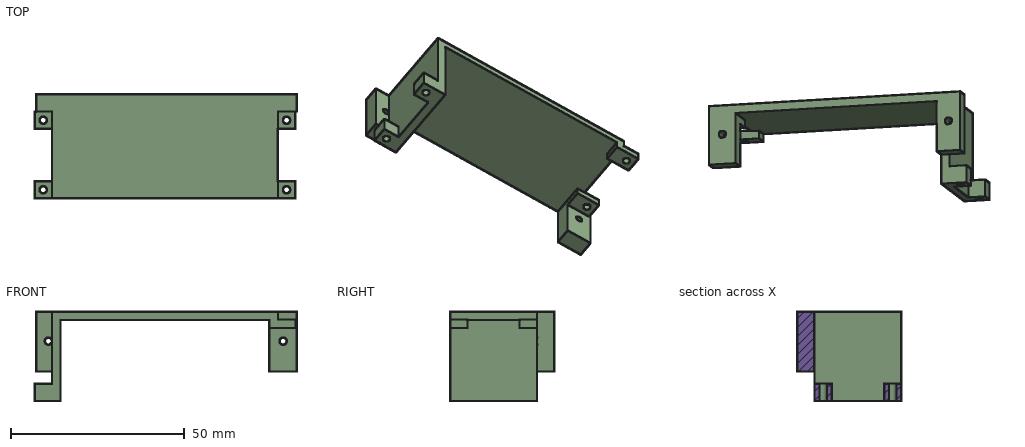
import cadquery as cq

height = 25.75
depth = 30.0
thickness = 2.5

wall_x = 5.0
plate_end_x = 70.0
flange_thickness = 5.0
plate_depth = depth - flange_thickness

flange_start_x = 0.5
flange_end_x = 75.5
leg_height = 17.25
left_leg_end_x = wall_x + thickness
right_leg_start_x = 67.5
leg_hole_drop = 8.5
left_leg_hole_x = (flange_start_x + left_leg_end_x) / 2
right_leg_hole_x = (right_leg_start_x + flange_end_x) / 2

hole_diameter = 2.0
tab_size = 5.0
lower_tab_height = 5.0
upper_tab_end_x = plate_end_x + tab_size
upper_tab_drop = 2.25
upper_tab_height = 2.5
tab_ys = (0.0, plate_depth - tab_size)


def box(x_range, y_range, z_range):
    """Block spanning the given start and end coordinates on each axis."""
    size = [end - start for start, end in (x_range, y_range, z_range)]
    corner = (x_range[0], y_range[0], z_range[0])
    return cq.Workplane("XY").box(*size, centered=False).translate(corner)


def vertical_hole(x, y):
    """Cutter for a screw hole through the full height."""
    return cq.Workplane("XY").center(x, y).circle(hole_diameter / 2).extrude(height)


def leg_hole(x):
    """Cutter for a screw hole along Y through a flange leg."""
    profile = cq.Workplane("XZ", origin=(x, depth, height - leg_hole_drop)).circle(hole_diameter / 2)
    return profile.extrude(flange_thickness)


def make_plate_and_wall():
    plate = box((wall_x, plate_end_x), (0, plate_depth), (height - thickness, height))
    wall = box((wall_x, wall_x + thickness), (0, plate_depth), (0, height))
    return plate.union(wall)


def make_flange():
    y_range = (plate_depth, depth)
    leg_z_range = (height - leg_height, height)
    strip = box((flange_start_x, flange_end_x), y_range, (height - thickness, height))
    left_leg = box((flange_start_x, left_leg_end_x), y_range, leg_z_range)
    right_leg = box((right_leg_start_x, flange_end_x), y_range, leg_z_range)
    flange = strip.union(left_leg).union(right_leg)
    for x in (left_leg_hole_x, right_leg_hole_x):
        flange = flange.cut(leg_hole(x))
    return flange


def add_tabs(body):
    upper_tab_top = height - upper_tab_drop
    upper_z_range = (upper_tab_top - upper_tab_height, upper_tab_top)
    for y in tab_ys:
        y_range = (y, y + tab_size)
        lower_tab = box((0, wall_x), y_range, (0, lower_tab_height))
        upper_tab = box((right_leg_start_x, upper_tab_end_x), y_range, upper_z_range)
        body = body.union(lower_tab).union(upper_tab)
        for x in (wall_x - tab_size / 2, plate_end_x + tab_size / 2):
            body = body.cut(vertical_hole(x, y + tab_size / 2))
    return body


result = add_tabs(make_plate_and_wall().union(make_flange()))